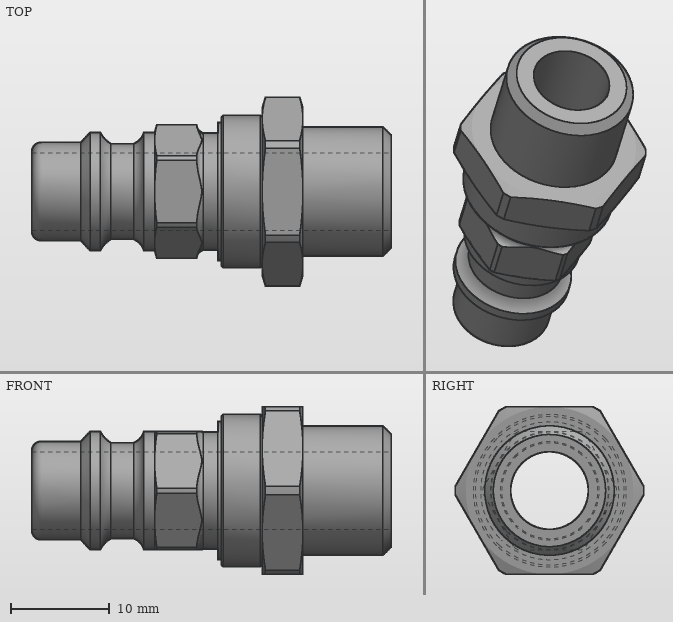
import cadquery as cq
import math

LENGTH = 36.5
BORE_D = 7.85

SHOULDER_START = 5.0
RIB_START = 5.95
RIB_END = 6.97
GROOVE_START = 8.03
GROOVE_END = 10.35
COLLAR_START = 11.4
SMALL_HEX_START = 12.5
SMALL_HEX_END = 16.75
NECK_START = 17.4
LIP_START = 18.9
JOINT = 19.25

TUBE_D = 10.0
TIP_ROUND = 1.0
RIB_D = 12.0
GROOVE_D = 9.75
LEFT_HOLLOW_DEPTH = 0.1
RIGHT_HOLLOW_DEPTH = 0.2
NECK_D = 11.9
LIP_D = 14.0
SMALL_HEX_FLATS = RIB_D
SMALL_HEX_CORNERS = 13.58
SMALL_HEX_BEVEL = 0.22
HEX_HOLLOW_DEPTH = 0.2

FLANGE_D = 15.5
FLANGE_BEVEL = 0.22
LARGE_HEX_START = 23.4
LARGE_HEX_END = 27.52
LARGE_HEX_FLATS = 17.0
LARGE_HEX_CORNERS = 19.15
LARGE_HEX_BEVEL = 0.33
SPIGOT_D = 13.15
SPIGOT_BEVEL = 0.88


def cylinder(start, end, diameter):
    return cq.Workplane("YZ", origin=(start, 0, 0)).circle(diameter / 2).extrude(end - start)


def hex_prism(start, end, across_flats):
    """Hexagon along X with corners on the Y axis and flats facing up and down."""
    corner_circle_d = across_flats / math.cos(math.pi / 6)
    return cq.Workplane("YZ", origin=(start, 0, 0)).polygon(6, corner_circle_d).extrude(end - start)


def turn(profile):
    return profile.close().revolve(360, (0, 0, 0), (1, 0, 0))


def drill(body):
    return body.cut(cylinder(0, LENGTH, BORE_D))


def hollow_middle(left, right, depth):
    """Point an arc passes through when it sags by depth below the chord from left to right."""
    run = right[0] - left[0]
    rise = right[1] - left[1]
    chord = math.hypot(run, rise)
    middle_x = (left[0] + right[0]) / 2
    middle_r = (left[1] + right[1]) / 2
    return (middle_x + depth * rise / chord, middle_r - depth * run / chord)


def make_plug_barrel():
    tube_r = TUBE_D / 2
    rib_r = RIB_D / 2
    groove_r = GROOVE_D / 2
    rib_edge = (RIB_END, rib_r)
    groove_left = (GROOVE_START, groove_r)
    groove_right = (GROOVE_END, groove_r)
    collar_edge = (COLLAR_START, rib_r)
    round_middle = TIP_ROUND * (1 - math.sqrt(0.5))
    profile = (
        cq.Workplane("XY")
        .moveTo(0, 0)
        .lineTo(0, tube_r - TIP_ROUND)
        .threePointArc((round_middle, tube_r - round_middle), (TIP_ROUND, tube_r))
        .lineTo(SHOULDER_START, tube_r)
        .lineTo(RIB_START, rib_r)
        .lineTo(*rib_edge)
        .threePointArc(hollow_middle(rib_edge, groove_left, LEFT_HOLLOW_DEPTH), groove_left)
        .lineTo(*groove_right)
        .threePointArc(hollow_middle(groove_right, collar_edge, RIGHT_HOLLOW_DEPTH), collar_edge)
        .lineTo(SMALL_HEX_START, rib_r)
        .lineTo(SMALL_HEX_START, NECK_D / 2)
        .lineTo(LIP_START, NECK_D / 2)
        .lineTo(LIP_START, LIP_D / 2)
        .lineTo(JOINT, LIP_D / 2)
        .lineTo(JOINT, 0)
    )
    return turn(profile)


def make_small_hex():
    """Hexagon bevelled at its front and hollowed down to the neck behind it."""
    flats_r = SMALL_HEX_FLATS / 2
    corners_r = SMALL_HEX_CORNERS / 2
    hollow_top = (SMALL_HEX_END, corners_r)
    hollow_foot = (NECK_START, NECK_D / 2)
    envelope = (
        cq.Workplane("XY")
        .moveTo(SMALL_HEX_START, 0)
        .lineTo(SMALL_HEX_START, flats_r)
        .lineTo(SMALL_HEX_START + SMALL_HEX_BEVEL, corners_r)
        .lineTo(*hollow_top)
        .threePointArc(hollow_middle(hollow_top, hollow_foot, HEX_HOLLOW_DEPTH), hollow_foot)
        .lineTo(NECK_START, 0)
    )
    return hex_prism(SMALL_HEX_START, NECK_START, SMALL_HEX_FLATS).intersect(turn(envelope))


def make_large_hex():
    """Hexagon with its corners turned down and bevelled on both faces."""
    flats_r = LARGE_HEX_FLATS / 2
    corners_r = LARGE_HEX_CORNERS / 2
    envelope = (
        cq.Workplane("XY")
        .moveTo(LARGE_HEX_START, 0)
        .lineTo(LARGE_HEX_START, flats_r)
        .lineTo(LARGE_HEX_START + LARGE_HEX_BEVEL, corners_r)
        .lineTo(LARGE_HEX_END - LARGE_HEX_BEVEL, corners_r)
        .lineTo(LARGE_HEX_END, flats_r)
        .lineTo(LARGE_HEX_END, 0)
    )
    return hex_prism(LARGE_HEX_START, LARGE_HEX_END, LARGE_HEX_FLATS).intersect(turn(envelope))


def make_plug():
    return drill(make_plug_barrel().union(make_small_hex()))


def make_fitting():
    flange = cylinder(JOINT, LARGE_HEX_START, FLANGE_D).edges().chamfer(FLANGE_BEVEL)
    spigot = cylinder(LARGE_HEX_END, LENGTH, SPIGOT_D).faces(">X").chamfer(SPIGOT_BEVEL)
    return drill(flange.union(make_large_hex()).union(spigot))


plug = make_plug()
fitting = make_fitting()

result = cq.Compound.makeCompound([plug.val(), fitting.val()])